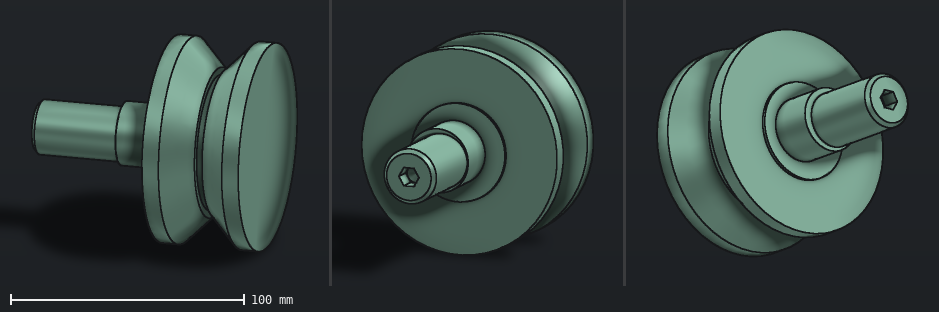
import cadquery as cq
import math

total_length = 102.5
stud_length = 38.0
wheel_width = 43.0
washer_thickness = 1.4
wheel_start = total_length - wheel_width
washer_start = wheel_start - washer_thickness

stud_diameter = 24.0
stud_chamfer = 1.7
collar_diameter = 28.0
collar_offset = 1.5
washer_diameter = 43.0

wheel_diameter = 90.0
rim_width = 7.4
relief_width = 3.4
relief_diameter = 58.6
flank_angle = 45.0

hex_across_flats = 8.0
hex_depth = 8.2
drill_point_angle = 120.0


def cylinder(start, length, diameter, offset_y=0.0):
    """Cylinder along +X, its axis shifted in Y by offset_y."""
    return (
        cq.Workplane("YZ", origin=(start, offset_y, 0))
        .circle(diameter / 2)
        .extrude(length)
    )


def grooved_wheel():
    """Wheel revolved about X with a V groove and a root relief."""
    wheel_radius = wheel_diameter / 2
    relief_radius = relief_diameter / 2
    middle = wheel_start + wheel_width / 2
    flank_width = (wheel_width - relief_width) / 2 - rim_width
    flank_depth = flank_width * math.tan(math.radians(flank_angle))
    root_radius = wheel_radius - flank_depth
    relief_left = middle - relief_width / 2
    relief_right = middle + relief_width / 2
    return (
        cq.Workplane("XY")
        .moveTo(wheel_start, 0)
        .lineTo(wheel_start, wheel_radius)
        .lineTo(wheel_start + rim_width, wheel_radius)
        .lineTo(relief_left, root_radius)
        .lineTo(relief_left, relief_radius)
        .lineTo(relief_right, relief_radius)
        .lineTo(relief_right, root_radius)
        .lineTo(total_length - rim_width, wheel_radius)
        .lineTo(total_length, wheel_radius)
        .lineTo(total_length, 0)
        .close()
        .revolve(360, (0, 0, 0), (1, 0, 0))
    )


def hex_socket():
    """Hexagonal hole, corners on the Y axis, ending in a drill point."""
    across_corners = hex_across_flats / math.cos(math.radians(30))
    prism = cq.Workplane("YZ").polygon(6, across_corners).extrude(hex_depth)
    point_radius = hex_across_flats / 2
    point_depth = point_radius / math.tan(math.radians(drill_point_angle / 2))
    point = cq.Workplane(
        cq.Solid.makeCone(
            point_radius, 0, point_depth, cq.Vector(hex_depth, 0, 0), cq.Vector(1, 0, 0)
        )
    )
    return prism.union(point)


stud = cylinder(0, stud_length, stud_diameter).faces("<X").chamfer(stud_chamfer)
collar = cylinder(stud_length, washer_start - stud_length, collar_diameter, collar_offset)
washer = cylinder(washer_start, washer_thickness, washer_diameter)

result = stud.union(collar).union(washer).union(grooved_wheel()).cut(hex_socket())